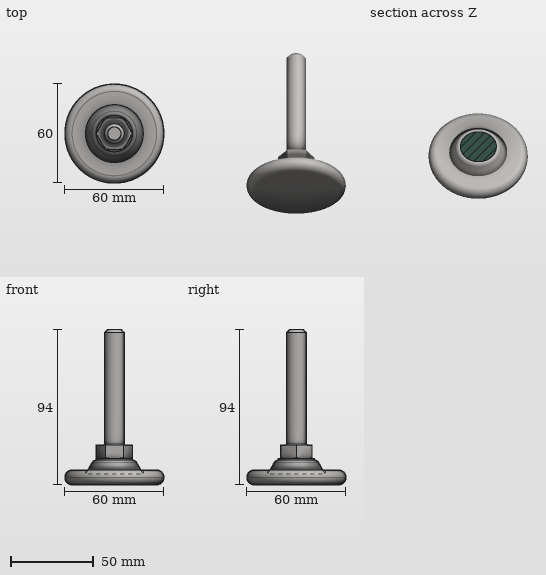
import cadquery as cq
import math


plate_diameter = 60.0
plate_thickness = 9.0
recess_diameter = 35.0
recess_depth = 2.5

cup_top_z = 15.0
cup_half_angle = 30.0
cup_edge_radius = 3.0

washer_diameter = 22.0
washer_thickness = 1.0

hex_across_flats = 19.0
hex_height = 8.0
hex_chamfer_diameter = 20.0
hex_chamfer_angle = 30.0
shank_diameter = 12.0
shank_length = 70.0
shank_tip_chamfer = 2.0
shank_root_radius = 1.0

recess_floor_z = plate_thickness - recess_depth
cup_height = cup_top_z - recess_floor_z
cup_base_radius = recess_diameter / 2
cup_top_radius = cup_base_radius - cup_height * math.tan(math.radians(cup_half_angle))
hex_bottom_z = cup_top_z + washer_thickness
hex_top_z = hex_bottom_z + hex_height
hex_across_corners = hex_across_flats / math.cos(math.radians(30))


def plane_at(height):
    """Horizontal workplane at the given height."""
    return cq.Workplane("XY").workplane(offset=height)


def make_plate():
    """Disc whose rim is two quarter rounds, with a blind round recess in its top."""
    outer_radius = plate_diameter / 2
    rim_radius = plate_thickness / 2
    flat_radius = outer_radius - rim_radius
    half_section = (
        cq.Workplane("XZ")
        .lineTo(flat_radius, 0)
        .radiusArc((outer_radius, rim_radius), -rim_radius)
        .radiusArc((flat_radius, plate_thickness), -rim_radius)
        .lineTo(0, plate_thickness)
        .close()
    )
    disc = half_section.revolve(360, (0, 0), (0, 1))
    recess = plane_at(recess_floor_z).circle(recess_diameter / 2).extrude(recess_depth)
    return disc.cut(recess)


def make_cup():
    """Cone standing on the recess floor, its top edge rounded."""
    half_section = (
        cq.Workplane("XZ")
        .moveTo(0, recess_floor_z)
        .lineTo(cup_base_radius, recess_floor_z)
        .lineTo(cup_top_radius, cup_top_z)
        .lineTo(0, cup_top_z)
        .close()
    )
    cone = half_section.revolve(360, (0, 0), (0, 1))
    return cone.faces(">Z").edges().fillet(cup_edge_radius)


def make_washer():
    """Flat disc between the cup and the hexagon."""
    return plane_at(cup_top_z).circle(washer_diameter / 2).extrude(washer_thickness)


def make_hexagon():
    """Hexagon whose lower corners are trimmed by a shallow cone."""
    prism = plane_at(hex_bottom_z).polygon(6, hex_across_corners).extrude(hex_height)
    chamfer_radius = hex_chamfer_diameter / 2
    envelope_radius = hex_across_corners / 2
    envelope_rise = (envelope_radius - chamfer_radius) * math.tan(math.radians(hex_chamfer_angle))
    envelope = (
        cq.Workplane("XZ")
        .moveTo(0, hex_bottom_z)
        .lineTo(chamfer_radius, hex_bottom_z)
        .lineTo(envelope_radius, hex_bottom_z + envelope_rise)
        .lineTo(envelope_radius, hex_top_z)
        .lineTo(0, hex_top_z)
        .close()
        .revolve(360, (0, 0), (0, 1))
    )
    return prism.intersect(envelope)


def make_shank():
    """Round shank with a chamfered tip and a concave fillet flaring out at its root."""
    radius = shank_diameter / 2
    tip_z = hex_top_z + shank_length
    root_z = hex_top_z + shank_root_radius
    half_section = (
        cq.Workplane("XZ")
        .moveTo(0, hex_top_z)
        .lineTo(radius + shank_root_radius, hex_top_z)
        .radiusArc((radius, root_z), shank_root_radius)
        .lineTo(radius, tip_z - shank_tip_chamfer)
        .lineTo(radius - shank_tip_chamfer, tip_z)
        .lineTo(0, tip_z)
        .close()
    )
    return half_section.revolve(360, (0, 0), (0, 1))


plate = make_plate()
cup = make_cup()
washer = make_washer()
stud = make_hexagon().union(make_shank())

result = cq.Compound.makeCompound([plate.val(), cup.val(), washer.val(), stud.val()])